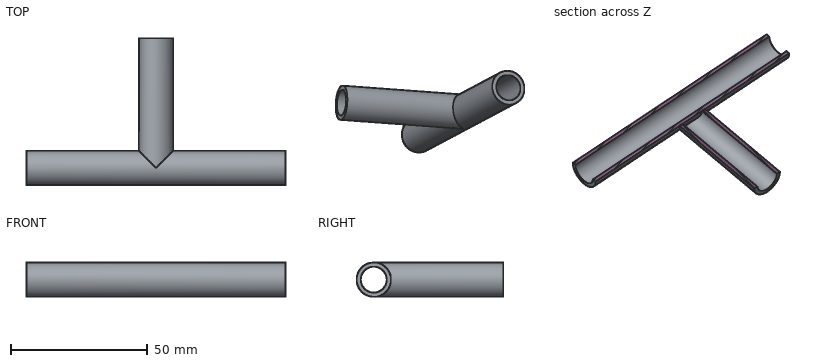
import cadquery as cq

run_length = 95.2
outer_diameter = 12.7
bore_diameter = 9.4
branch_reach = run_length / 2


def make_run_pipe():
    """Straight pipe along X, centred on the origin."""
    return (
        cq.Workplane("YZ", origin=(-run_length / 2, 0, 0))
        .circle(outer_diameter / 2)
        .circle(bore_diameter / 2)
        .extrude(run_length)
    )


def make_branch_pipe():
    """Pipe along +Y, its inner end coped to sit on the outside of the run pipe."""
    pipe = (
        cq.Workplane("XZ")
        .circle(outer_diameter / 2)
        .circle(bore_diameter / 2)
        .extrude(-branch_reach)
    )
    run_envelope = (
        cq.Workplane("YZ", origin=(-run_length / 2, 0, 0))
        .circle(outer_diameter / 2)
        .extrude(run_length)
    )
    return pipe.cut(run_envelope)


run_pipe = make_run_pipe()
branch_pipe = make_branch_pipe()

result = cq.Compound.makeCompound([run_pipe.val(), *branch_pipe.solids().vals()])